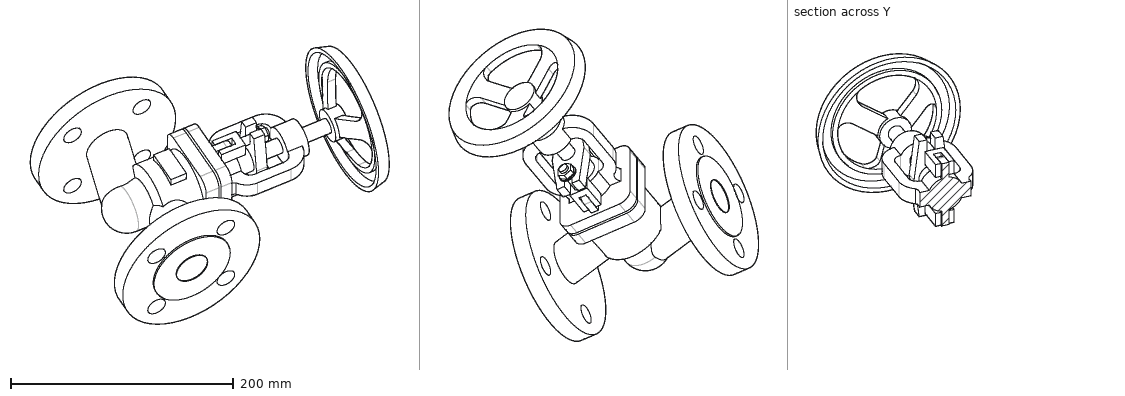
import cadquery as cq
import math


overall_length = 284.0

flange_diameter = 140.0
flange_thickness = 16.2
flange_inner_face = 72.2
raised_face_diameter = 77.8
raised_face_height = 1.7
port_diameter = 31.8
port_recess = 0.9
bolt_circle_diameter = 100.0
bolt_hole_diameter = 18.0
bolt_hole_count = 4

pipe_diameter = 40.5
pipe_tilt = 15.0
elbow_radius = 22.7
elbow_y = -18.8
pipe_drop = flange_inner_face * math.tan(math.radians(pipe_tilt))

bowl_radius = 33.5
bowl_bottom = 3.7
bowl_cone_bottom = -1.5
name_plate_y = 17.5
name_plate_length = 16.0
name_plate_width = 33.0
name_plate_top_z = 37.0

square_side = 74.0
square_corner_radius = 11.5
body_flange_bottom = 42.5
body_flange_top = 55.7
gasket_radius = 29.0
bonnet_flange_bottom = 58.0
bonnet_flange_top = 69.0

hub_diameter = 35.5
bonnet_top = 89.8
yoke_hub_bottom = 137.0
yoke_hub_top = 158.2
yoke_half_width = 35.2
yoke_arm_width = 10.2
yoke_thickness = 16.0
yoke_crown_radius = 22.0
yoke_shoulder_radius = 20.5
yoke_arm_bottom = 96.0
yoke_arm_top = 130.5
yoke_shoulder_angle = 56.0
yoke_waist_x = 24.7
yoke_waist_y = 74.7
yoke_foot_x = 27.3
window_corner_radius = 8.5
spindle_diameter = 14.5

gland_sleeve_radius = 12.0
gland_bottom = 104.8
gland_top = 116.0
gland_half_length = 39.8
gland_middle_half_width = 16.8
gland_tip_half_width = 11.6
gland_slot_width = 8.0
bolt_z = 25.9
bolt_radius = 4.3
bolt_end = 125.0
washer_diameter = 16.8
washer_top = 117.3
nut_corner_diameter = 15.5
nut_sides = 6
nut_top = 122.5
clevis_bottom = 73.3
clevis_top = 97.7
clevis_width = 18.2
clevis_height = 13.5
clevis_slot_width = 7.5
clevis_slot_top = 90.5
lug_diameter = 14.5
lug_pivot_y = 81.5

wheel_top = overall_length - flange_diameter / 2
wheel_bottom = 201.1
wheel_radius = 69.5
wheel_top_radius = 66.2
channel_mouth_radius = 65.0
channel_floor_radius = 62.5
channel_floor = 209.7
inner_ring_outer_radius = 53.5
inner_ring_inner_radius = 48.3
wheel_hub_radius = 15.5
wheel_hub_bottom = 186.5
spoke_root = 190.0
spoke_rise = 16.0
spoke_root_depth = 8.5
spoke_half_width = 9.5
window_fillet = 8.5
spoke_count = 3
spoke_tip = spoke_root + spoke_rise


def along_y(bottom, center_z=0):
    """Workplane facing +Y at the given height; local x is X and local y is -Z."""
    return cq.Workplane("XZ", origin=(0, bottom, center_z)).transformed(rotate=(180, 0, 0))


def rod(radius, bottom, top, center_z=0):
    return along_y(bottom, center_z=center_z).circle(radius).extrude(top - bottom)


def box(x_size, y_min, y_max, z_min, z_max):
    """Box centred on X = 0."""
    size = (x_size, y_max - y_min, z_max - z_min)
    return cq.Workplane("XY").box(*size).translate((0, (y_min + y_max) / 2, (z_min + z_max) / 2))


def turned(points):
    """Solid turned about the spindle axis from (radius, height) points."""
    return cq.Workplane("XY").polyline(points).close().revolve(360, (0, 0, 0), (0, 1, 0))


def pipe_flange():
    """Flange on the +X side, with a shallow round recess in its raised face."""
    flange = cq.Workplane("YZ", origin=(flange_inner_face, 0, 0))
    flange = flange.circle(flange_diameter / 2).extrude(flange_thickness)
    flange = flange.faces(">X").workplane().circle(raised_face_diameter / 2).extrude(raised_face_height)
    flange = flange.faces(">X").workplane().circle(port_diameter / 2).cutBlind(-port_recess)
    first_hole_angle = 180 / bolt_hole_count
    holes = cq.Workplane("YZ", origin=(flange_inner_face, 0, 0))
    holes = holes.polarArray(bolt_circle_diameter / 2, first_hole_angle, 360, bolt_hole_count)
    return flange.cut(holes.circle(bolt_hole_diameter / 2).extrude(flange_thickness))


def inclined_pipe():
    """Pipe rising from the +X flange towards the spindle axis."""
    length = flange_inner_face / math.cos(math.radians(pipe_tilt))
    overrun = pipe_diameter / 2 * math.tan(math.radians(pipe_tilt))
    pipe = cq.Workplane("YZ").circle(pipe_diameter / 2).extrude(length + overrun)
    pipe = pipe.rotate((0, 0, 0), (0, 0, 1), -pipe_tilt).translate((0, pipe_drop, 0))
    keep = cq.Workplane("XY").box(flange_inner_face, flange_diameter, flange_diameter)
    return pipe.intersect(keep.translate((flange_inner_face / 2, 0, 0)))


def bowl():
    """Bowl, cone, throat and round elbow, turned in one piece about the spindle axis."""
    diagonal = elbow_radius * math.sqrt(0.5)
    profile = (
        cq.Workplane("XY")
        .moveTo(0, elbow_y - elbow_radius)
        .threePointArc((diagonal, elbow_y - diagonal), (elbow_radius, elbow_y))
        .lineTo(elbow_radius, bowl_cone_bottom)
        .lineTo(bowl_radius, bowl_bottom)
        .lineTo(bowl_radius, body_flange_bottom)
        .lineTo(0, body_flange_bottom)
        .close()
    )
    return profile.revolve(360, (0, 0, 0), (0, 1, 0))


def square_flange(bottom, top):
    flange = box(square_side, bottom, top, -square_side / 2, square_side / 2)
    return flange.edges("|Y").fillet(square_corner_radius)


def body():
    """Bowl, two opposite pipes and flanges, name plate and square flange."""
    flange = pipe_flange()
    pipe = inclined_pipe()
    half_turn = ((0, 0, 0), (0, 0, 1), 180)
    solid = bowl().union(pipe).union(pipe.rotate(*half_turn))
    solid = solid.union(flange).union(flange.rotate(*half_turn))
    plate = box(name_plate_width, name_plate_y, name_plate_y + name_plate_length, 0, name_plate_top_z)
    solid = solid.union(plate).union(square_flange(body_flange_bottom, body_flange_top))
    return solid.union(rod(gasket_radius, body_flange_top, bonnet_flange_bottom))


def yoke():
    """Flat yoke with two arms around an open window."""
    crown_x = yoke_half_width - yoke_crown_radius
    crown_y = yoke_arm_top + yoke_crown_radius
    shoulder_x = yoke_half_width - yoke_shoulder_radius

    def shoulder(angle):
        turn = math.radians(angle)
        return (
            shoulder_x + yoke_shoulder_radius * math.cos(turn),
            yoke_arm_bottom - yoke_shoulder_radius * math.sin(turn),
        )

    half = (
        cq.Workplane("XY", origin=(0, 0, -yoke_thickness / 2))
        .moveTo(0, bonnet_flange_top)
        .lineTo(yoke_foot_x, bonnet_flange_top)
        .threePointArc((yoke_waist_x, yoke_waist_y), shoulder(yoke_shoulder_angle))
        .threePointArc(shoulder(yoke_shoulder_angle / 2), shoulder(0))
        .lineTo(yoke_half_width, yoke_arm_top)
        .radiusArc((crown_x, crown_y), -yoke_crown_radius)
        .lineTo(0, crown_y)
        .close()
        .extrude(yoke_thickness)
    )
    window_width = 2 * (yoke_half_width - yoke_arm_width)
    window = box(window_width, bonnet_top, yoke_hub_bottom, -yoke_thickness, yoke_thickness)
    window = window.edges("|Z").fillet(window_corner_radius)
    frame = half.union(half.mirror("YZ")).cut(window)
    return frame.union(rod(hub_diameter / 2, yoke_hub_bottom, yoke_hub_top))


def bonnet():
    """Square flange carrying the stuffing box and the yoke."""
    solid = square_flange(bonnet_flange_bottom, bonnet_flange_top)
    return solid.union(rod(hub_diameter / 2, bonnet_flange_top, bonnet_top)).union(yoke())


def gland():
    """Tapered gland plate, forked at both ends, on a round sleeve."""
    outline = [
        (gland_middle_half_width, 0),
        (gland_tip_half_width, gland_half_length),
        (-gland_tip_half_width, gland_half_length),
        (-gland_middle_half_width, 0),
        (-gland_tip_half_width, -gland_half_length),
        (gland_tip_half_width, -gland_half_length),
    ]
    plate = along_y(gland_bottom).polyline(outline).close()
    plate = plate.extrude(gland_top - gland_bottom)
    for side in (1, -1):
        z_limits = sorted((side * bolt_z, side * gland_half_length))
        plate = plate.cut(box(gland_slot_width, gland_bottom, gland_top, *z_limits))
    return plate.union(rod(gland_sleeve_radius, bonnet_top, gland_bottom))


def swing_bolt():
    """Clevis, rod, washer and nut above the +Z lug of the bonnet."""
    lug = box(clevis_slot_width, bonnet_flange_top, lug_pivot_y, 0, bolt_z + lug_diameter / 2)
    pivot = cq.Workplane("YZ", origin=(-clevis_slot_width / 2, lug_pivot_y, bolt_z))
    lug = lug.union(pivot.circle(lug_diameter / 2).extrude(clevis_slot_width))
    z_limits = (bolt_z - clevis_height / 2, bolt_z + clevis_height / 2)
    clevis = box(clevis_width, clevis_bottom, clevis_top, *z_limits)
    clevis = clevis.cut(box(clevis_slot_width, clevis_bottom, clevis_slot_top, *z_limits))
    shank = rod(bolt_radius, clevis_top, bolt_end, bolt_z)
    washer = rod(washer_diameter / 2, gland_top, washer_top, bolt_z)
    nut = along_y(washer_top, center_z=bolt_z).polygon(nut_sides, nut_corner_diameter)
    nut = nut.extrude(nut_top - washer_top).rotate((0, 0, bolt_z), (0, 1, bolt_z), 90)
    return clevis.union(lug).union(shank).union(washer).union(nut)


def wheel_window():
    """One opening between two neighbouring spokes, centred on +Z."""
    half_angle = math.radians(180 / spoke_count)
    apex = spoke_half_width / math.sin(half_angle)
    reach = 2 * inner_ring_inner_radius
    spread = reach * math.tan(half_angle)
    wedge = along_y(spoke_root).polyline([(0, -apex), (spread, -apex - reach), (-spread, -apex - reach)])
    wedge = wedge.close().extrude(wheel_top - spoke_root)
    opening = wedge.intersect(rod(inner_ring_inner_radius, spoke_root, wheel_top))
    return opening.edges("|Y and >X or |Y and <X").fillet(window_fillet)


def handwheel():
    """Rim with a channel in its underside, dished spokes and a round hub."""
    wheel = turned([
        (0, spoke_root),
        (wheel_hub_radius, spoke_root),
        (inner_ring_inner_radius, spoke_tip),
        (inner_ring_outer_radius, spoke_tip),
        (inner_ring_outer_radius, channel_floor),
        (channel_floor_radius, channel_floor),
        (channel_mouth_radius, wheel_bottom),
        (wheel_radius, wheel_bottom),
        (wheel_top_radius, wheel_top),
        (inner_ring_inner_radius, wheel_top),
        (wheel_hub_radius, spoke_root + spoke_root_depth),
        (0, spoke_root + spoke_root_depth),
    ])
    for index in range(spoke_count):
        wheel = wheel.cut(wheel_window().rotate((0, 0, 0), (0, 1, 0), index * 360 / spoke_count))
    return wheel.union(rod(wheel_hub_radius, wheel_hub_bottom, wheel_bottom))


spindle = rod(spindle_diameter / 2, bonnet_flange_top, wheel_hub_bottom)
result = body().union(bonnet()).union(gland()).union(spindle).union(handwheel())
upper_bolt = swing_bolt()
result = result.union(upper_bolt).union(upper_bolt.mirror("XY"))